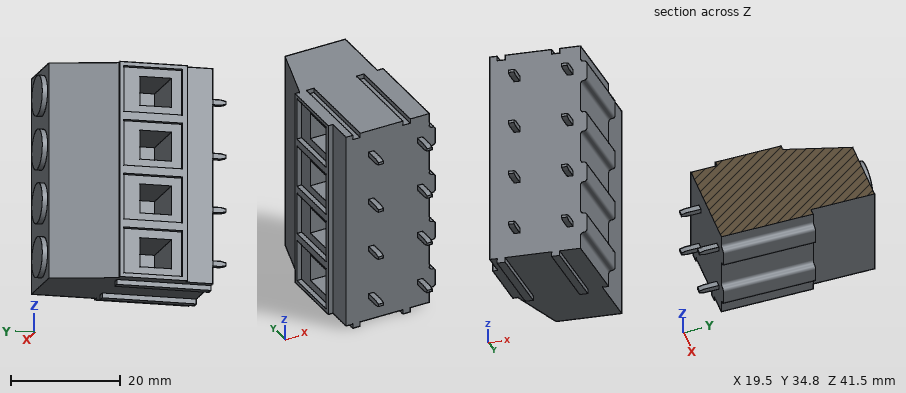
import cadquery as cq


pole_count = 4
total_height = 41.45
tab_depth = 0.9
body_height = total_height - tab_depth
pole_pitch = body_height / pole_count
body_bottom = tab_depth
body_top = total_height
pole_centers = [body_bottom + (i + 0.5) * pole_pitch for i in range(pole_count)]

pin_length = 3.75
base_y = pin_length
entry_frame_y = 8.8
shoulder_y = 21.5
tower_y = 33.77
screw_y = 34.75

frame_depth = 0.95
tower_front_x = 4.55
tower_back_x = 17.07
base_back_x = 18.28
rib_back_x = 19.5

recess_depth = 1.0
recess_length = 11.1
recess_height = 8.6
recess_center_y = 15.25
wire_hole_length = 5.95
wire_hole_height = 5.45
wire_hole_center_y = 14.55

screw_diameter = 7.55
screw_center_x = 9.3
wire_hole_end_x = screw_center_x + screw_diameter / 2

tab_width = 1.55
tab_start_xs = [2.35, 12.75]

rib_width = 3.9
rib_edge_radius = (rib_back_x - base_back_x) / 2

first_pin_x = 6.17
pin_width = 1.08
pin_thickness = 1.0
pin_tip_thickness = 0.5
pin_taper_length = 1.0
pin_center_xs = [first_pin_x, first_pin_x + pole_pitch]


def box_between(x_range, y_range, z_range):
    """Axis-aligned box spanning the given (low, high) ranges."""
    (x0, x1), (y0, y1), (z0, z1) = x_range, y_range, z_range
    return cq.Workplane("XY").box(x1 - x0, y1 - y0, z1 - z0, centered=False).translate((x0, y0, z0))


def housing():
    """Stepped side profile extruded over all poles."""
    profile = [
        (frame_depth, base_y),
        (base_back_x, base_y),
        (base_back_x, shoulder_y),
        (tower_back_x, shoulder_y),
        (tower_back_x, tower_y),
        (tower_front_x, tower_y),
        (frame_depth, shoulder_y),
        (0, shoulder_y),
        (0, entry_frame_y),
        (frame_depth, entry_frame_y),
    ]
    return cq.Workplane("XY").workplane(offset=body_bottom).polyline(profile).close().extrude(body_height)


def joining_bars(z_low):
    """Pair of bars along Y: tabs when added below the body, grooves when cut from its top."""
    bars = cq.Workplane("XY")
    for x in tab_start_xs:
        bars = bars.add(
            box_between((x, x + tab_width), (base_y, shoulder_y), (z_low, z_low + tab_depth))
        )
    return bars.combine()


def back_rib(z):
    """Rib with a rounded nose and concave roots blending into the back wall."""
    half = rib_width / 2
    radius = rib_edge_radius
    arc_x = base_back_x + radius
    return (
        cq.Workplane("XZ", origin=(0, base_y, z))
        .moveTo(base_back_x - radius, -half - radius)
        .lineTo(base_back_x, -half - radius)
        .radiusArc((arc_x, -half), radius)
        .radiusArc((rib_back_x, -half + radius), -radius)
        .lineTo(rib_back_x, half - radius)
        .radiusArc((arc_x, half), -radius)
        .radiusArc((base_back_x, half + radius), radius)
        .lineTo(base_back_x - radius, half + radius)
        .close()
        .extrude(base_y - shoulder_y)
    )


def screw_head(z):
    """Round screw head standing on top of the tower."""
    return (
        cq.Workplane("XZ", origin=(screw_center_x, tower_y, z))
        .circle(screw_diameter / 2)
        .extrude(tower_y - screw_y)
    )


def wire_entry(z):
    """Shallow recess with a deeper rectangular wire hole in its floor."""
    recess = cq.Workplane("YZ", origin=(0, recess_center_y, z)).rect(recess_length, recess_height)
    hole = cq.Workplane("YZ", origin=(0, wire_hole_center_y, z)).rect(wire_hole_length, wire_hole_height)
    return recess.extrude(recess_depth).union(hole.extrude(wire_hole_end_x))


def solder_pin(x, z):
    """Rectangular pin whose thickness tapers at the tip."""
    half = pin_thickness / 2
    half_tip = pin_tip_thickness / 2
    profile = [
        (base_y, -half),
        (base_y, half),
        (pin_taper_length, half),
        (0, half_tip),
        (0, -half_tip),
        (pin_taper_length, -half),
    ]
    return (
        cq.Workplane("YZ", origin=(x, 0, z))
        .polyline(profile)
        .close()
        .extrude(pin_width / 2, both=True)
    )


result = housing()
result = result.union(joining_bars(0))
result = result.cut(joining_bars(body_top - tab_depth))
for pole_z in pole_centers:
    result = result.union(back_rib(pole_z))
    result = result.union(screw_head(pole_z))
    result = result.cut(wire_entry(pole_z))
    for pin_x in pin_center_xs:
        result = result.union(solder_pin(pin_x, pole_z))